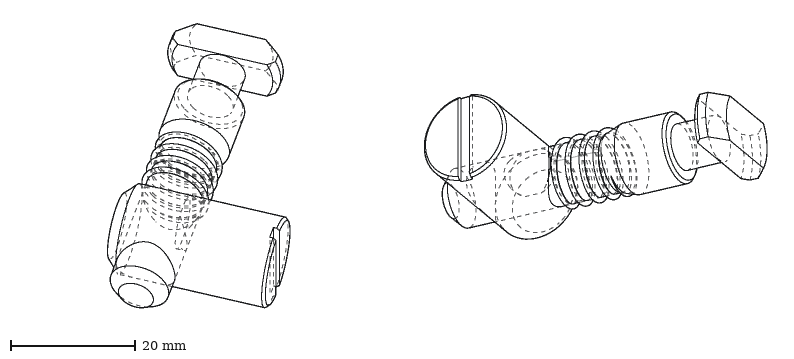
import cadquery as cq


bolt_front = -13.0
shaft_diameter = 9.9
shaft_end_chamfer = 2.0
collar_diameter = 11.9
collar_start = 20.0
collar_end = 29.15
collar_chamfer = 0.5
collar_cone_length = 2.95
neck_diameter = 7.7

pocket_diameter = 8.5
pocket_depth = 2.0
pocket_edge = 7.85

head_end = 41.0
head_diameter = 19.0
head_length = 5.0
head_thickness = 8.0
head_end_chamfer = 2.5
head_neck_chamfer = 1.0

barrel_diameter = 15.0
barrel_left = -7.0
barrel_right = 20.0
barrel_left_chamfer = 2.0
barrel_right_chamfer = 0.5
slot_width = 2.1
slot_depth = 1.0

wire_diameter = 0.9
wire_sink = 0.05
spring_pitch = 2.55
spring_start = 8.05
spring_end = 18.05
spring_turns = 5
spring_wire_start = 6.15


def shaft_and_collar():
    """Stepped round part of the bolt, from its front end up to the T-head."""
    shaft_radius = shaft_diameter / 2
    collar_radius = collar_diameter / 2
    neck_radius = neck_diameter / 2
    head_start = head_end - head_length
    return (
        cq.Workplane("XY")
        .moveTo(0, bolt_front)
        .lineTo(shaft_radius - shaft_end_chamfer, bolt_front)
        .lineTo(shaft_radius, bolt_front + shaft_end_chamfer)
        .lineTo(shaft_radius, collar_start - collar_cone_length)
        .lineTo(collar_radius, collar_start)
        .lineTo(collar_radius, collar_end - collar_chamfer)
        .lineTo(collar_radius - collar_chamfer, collar_end)
        .lineTo(neck_radius, collar_end)
        .lineTo(neck_radius, head_start)
        .lineTo(0, head_start)
        .close()
        .revolve(360, (0, 0, 0), (0, 1, 0))
    )


def t_head():
    """Chamfered disc cut to a flat slab across Z."""
    radius = head_diameter / 2
    head_start = head_end - head_length
    disc = (
        cq.Workplane("XY")
        .moveTo(0, head_start)
        .lineTo(radius - head_neck_chamfer, head_start)
        .lineTo(radius, head_start + head_neck_chamfer)
        .lineTo(radius, head_end - head_end_chamfer)
        .lineTo(radius - head_end_chamfer, head_end)
        .lineTo(0, head_end)
        .close()
        .revolve(360, (0, 0, 0), (0, 1, 0))
    )
    slab = cq.Workplane("XY").box(head_diameter, head_length, head_thickness).translate(
        (0, head_end - head_length / 2, 0)
    )
    return disc.intersect(slab)


def spring_turn():
    """One left-hand turn of round wire about Y, starting on the +X side of the shaft."""
    coil_radius = (shaft_diameter + wire_diameter) / 2 - wire_sink
    helix = cq.Wire.makeHelix(spring_pitch, spring_pitch, coil_radius, lefthand=True)
    return (
        cq.Workplane("XZ", origin=(coil_radius, 0, 0))
        .circle(wire_diameter / 2)
        .sweep(cq.Workplane(obj=helix), isFrenet=True)
        .rotate((0, 0, 0), (1, 0, 0), -90)
    )


def ground_spring_turns():
    """The turns of the spring in order, with its two ends ground flat."""
    spring_length = spring_end - spring_start
    ground_space = (
        cq.Workplane("XZ", origin=(0, spring_start, 0)).circle(collar_diameter).extrude(-spring_length)
    )
    turn = spring_turn()
    return [
        turn.translate((0, spring_wire_start + i * spring_pitch, 0)).intersect(ground_space)
        for i in range(spring_turns)
    ]


def shaft_pocket():
    """Flat-bottomed round cutter that enters the shaft from +X."""
    floor = shaft_diameter / 2 - pocket_depth
    return (
        cq.Workplane("YZ", origin=(floor, pocket_edge - pocket_diameter / 2, 0))
        .circle(pocket_diameter / 2)
        .extrude(2 * pocket_depth)
    )


def make_bolt():
    """Shaft, collar, T-head and spring as one body; the spring is joined turn by turn."""
    bolt = shaft_and_collar().cut(shaft_pocket()).union(t_head())
    for turn in ground_spring_turns():
        bolt = bolt.union(turn)
    return bolt


def make_barrel():
    """Cylinder with a cross hole for the shaft and a screwdriver slot in its +X end."""
    barrel = (
        cq.Workplane("YZ", origin=(barrel_left, 0, 0))
        .circle(barrel_diameter / 2)
        .extrude(barrel_right - barrel_left)
        .faces("<X")
        .chamfer(barrel_left_chamfer)
        .faces(">X")
        .chamfer(barrel_right_chamfer)
    )
    slot = cq.Workplane("XY").box(2 * slot_depth, slot_width, 2 * barrel_diameter).translate(
        (barrel_right, 0, 0)
    )
    bolt_hole = cq.Workplane("XZ").circle(shaft_diameter / 2).extrude(barrel_diameter, both=True)
    return barrel.cut(slot).cut(bolt_hole)


bolt = make_bolt()
barrel = make_barrel()

result = cq.Compound.makeCompound([bolt.val(), barrel.val()])